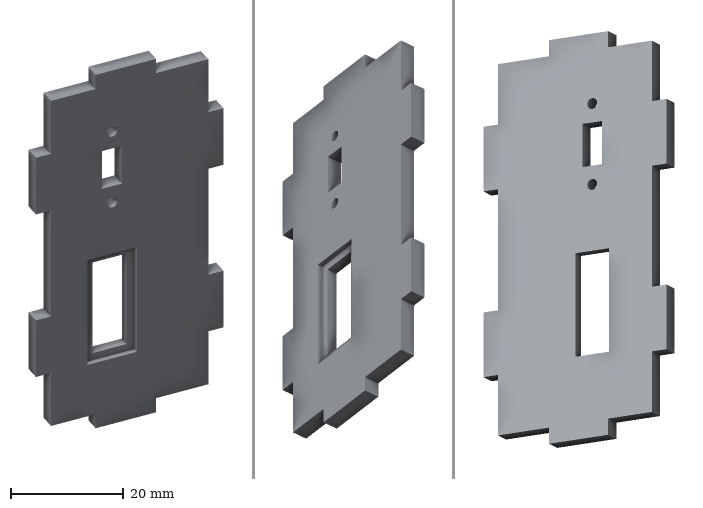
import cadquery as cq

thickness = 3.0
overall_width = 37.2
overall_height = 74.9

tab_length = 12.0
tab_depth = thickness
body_width = overall_width - 2 * tab_depth
body_height = overall_height - 2 * tab_depth

end_tab_y = -0.75

side_tab_margin = (body_height - 2 * tab_length) / 4
side_tab_z = body_height / 2 - side_tab_margin - tab_length / 2

opening_y = -3.5

small_window_width = 4.0
small_window_height = 8.0
small_window_z = 16.95
screw_hole_diameter = 2.0
screw_hole_spacing = 15.0

large_window_width = 6.8
large_window_height = 19.2
large_window_z = -12.45

recess_depth = 1.0
recess_margin = 1.5


def plate(width, height, y=0.0, z=0.0):
    """Block of sheet thickness centred at (y, z)."""
    return cq.Workplane("XY").box(thickness, width, height).translate((0, y, z))


def screw_hole(z):
    """Cylinder along X through the sheet, on the opening centreline."""
    return (
        cq.Workplane("YZ")
        .center(opening_y, z)
        .circle(screw_hole_diameter / 2)
        .extrude(thickness, both=True)
    )


result = plate(body_width, body_height)
result = result.union(plate(tab_length, overall_height, y=end_tab_y))
for side in (-1, 1):
    result = result.union(plate(overall_width, tab_length, z=side * side_tab_z))

result = result.cut(plate(small_window_width, small_window_height, opening_y, small_window_z))
result = result.cut(plate(large_window_width, large_window_height, opening_y, large_window_z))

result = result.cut(
    plate(
        large_window_width + 2 * recess_margin,
        large_window_height + 2 * recess_margin,
        opening_y,
        large_window_z,
    ).translate((thickness - recess_depth, 0, 0))
)

for side in (-1, 1):
    result = result.cut(screw_hole(small_window_z + side * screw_hole_spacing / 2))